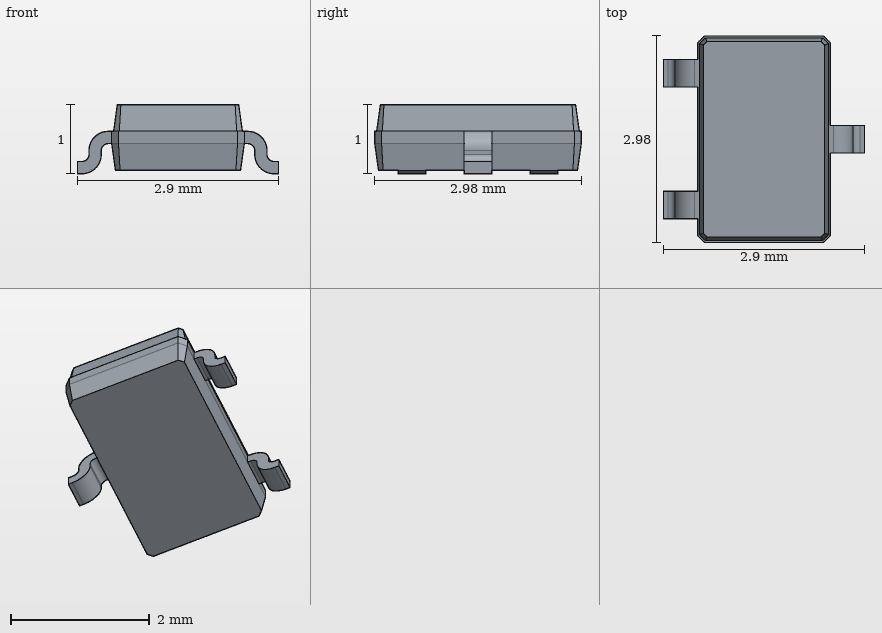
import cadquery as cq
import math

body_length_x = 1.915
body_length_y = 2.98
corner_chamfer = 0.1
standoff = 0.05
overall_height = 1.0
draft_angle = 8.0
upper_step = 0.0275

lead_span = 2.9
lead_width = 0.4
lead_thickness = 0.18
lead_pitch = 1.9
foot_length = 0.065
inner_radius = 0.1
lead_embed = 0.2

outer_radius = inner_radius + lead_thickness
band_bottom = (standoff + overall_height - lead_thickness) / 2
band_top = band_bottom + lead_thickness
foot_tip = lead_span / 2
root_end = body_length_x / 2 - lead_embed


def chamfered_rectangle(z, inset=0.0):
    """Body outline at height z, offset inwards evenly on all eight sides."""
    chamfer = corner_chamfer - inset * (2 - math.sqrt(2))
    half_x = body_length_x / 2 - inset
    half_y = body_length_y / 2 - inset
    points = [
        (half_x, half_y - chamfer),
        (half_x - chamfer, half_y),
        (chamfer - half_x, half_y),
        (-half_x, half_y - chamfer),
        (-half_x, chamfer - half_y),
        (chamfer - half_x, -half_y),
        (half_x - chamfer, -half_y),
        (half_x, chamfer - half_y),
    ]
    return cq.Workplane("XY", origin=(0, 0, z)).polyline(points).close()


def make_body():
    """Straight middle band with a drafted lower half and a stepped-in drafted upper half."""
    band = chamfered_rectangle(band_bottom).extrude(lead_thickness)
    lower = chamfered_rectangle(band_bottom).extrude(standoff - band_bottom, taper=draft_angle)
    upper = chamfered_rectangle(band_top, upper_step).extrude(overall_height - band_top, taper=draft_angle)
    return band.union(lower).union(upper)


def make_lead(side, center_y):
    """S-bent lead leaving the body towards +X (side = 1) or -X (side = -1)."""
    diagonal = math.sqrt(0.5)
    foot_bend_x = foot_tip - foot_length
    foot_bend_z = outer_radius
    shoulder_bend_x = foot_bend_x - inner_radius - outer_radius
    shoulder_bend_z = band_top - outer_radius

    def at(x, z):
        return (side * x, z)

    def shoulder(radius):
        return at(shoulder_bend_x + radius * diagonal, shoulder_bend_z + radius * diagonal)

    def foot(radius):
        return at(foot_bend_x - radius * diagonal, foot_bend_z - radius * diagonal)

    profile = (
        cq.Workplane("XZ", origin=(0, center_y, 0))
        .moveTo(*at(root_end, band_top))
        .lineTo(*at(shoulder_bend_x, band_top))
        .threePointArc(shoulder(outer_radius), at(shoulder_bend_x + outer_radius, shoulder_bend_z))
        .lineTo(*at(foot_bend_x - inner_radius, foot_bend_z))
        .threePointArc(foot(inner_radius), at(foot_bend_x, lead_thickness))
        .lineTo(*at(foot_tip, lead_thickness))
        .lineTo(*at(foot_tip, 0))
        .lineTo(*at(foot_bend_x, 0))
        .threePointArc(foot(outer_radius), at(foot_bend_x - outer_radius, foot_bend_z))
        .lineTo(*at(shoulder_bend_x + inner_radius, shoulder_bend_z))
        .threePointArc(shoulder(inner_radius), at(shoulder_bend_x, band_bottom))
        .lineTo(*at(root_end, band_bottom))
        .close()
    )
    return profile.extrude(lead_width / 2, both=True)


lead_positions = [(-1, -lead_pitch / 2), (-1, lead_pitch / 2), (1, 0)]

result = make_body()
for lead_side, lead_y in lead_positions:
    result = result.union(make_lead(lead_side, lead_y))